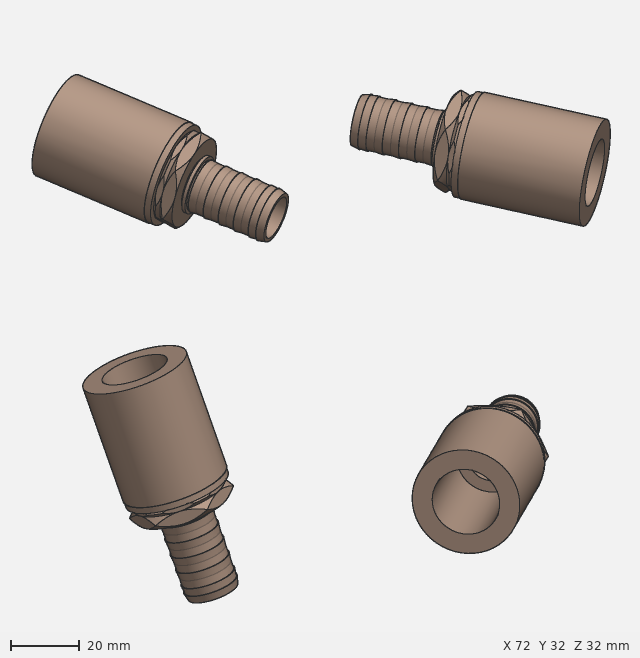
import cadquery as cq
import math

total_length = 72.0

sleeve_radius = 16.0
sleeve_length = 36.9
shoulder_radius = 15.8
shoulder_end = 38.95

hex_sides = 6
hex_corner_radius = sleeve_radius
hex_flat_radius = hex_corner_radius * math.cos(math.pi / hex_sides)
lock_nut_ridge_radius = 14.75
lock_nut_end = 41.0
main_nut_end = 45.0

tail_root_radius = 8.0
collar_radius = 9.0
collar_start = 45.65
collar_end = 46.7

barb_count = 5
barb_peak_radius = 8.3
barbs_start = 47.3
barb_pitch = (total_length - barbs_start) / barb_count
barb_taper_length = barb_pitch / 2
tip_radius = 7.6

socket_radius = 10.0
socket_depth = sleeve_length
through_radius = 6.5


def cylinder(radius, start, end):
    """Solid cylinder along X between two positions."""
    return cq.Workplane("YZ", origin=(start, 0, 0)).circle(radius).extrude(end - start)


def revolve_about_x(profile):
    """Full turn of a profile drawn in the XY plane around the X axis."""
    return profile.close().revolve(360, (0, 0, 0), (1, 0, 0))


def chamfered_nut(start, end, ridge_radius):
    """Hexagon trimmed by two cones that meet in a ridge halfway along its width."""
    hexagon = (
        cq.Workplane("YZ", origin=(start, 0, 0))
        .polygon(hex_sides, 2 * hex_corner_radius)
        .extrude(end - start)
    )
    double_cone = revolve_about_x(
        cq.Workplane("XY")
        .moveTo(start, 0)
        .lineTo(start, hex_flat_radius)
        .lineTo((start + end) / 2, ridge_radius)
        .lineTo(end, hex_flat_radius)
        .lineTo(end, 0)
    )
    return hexagon.intersect(double_cone)


def barbed_tail():
    """Hose tail with tapered barbs and a conical lead-in at the tip."""
    profile = (
        cq.Workplane("XY")
        .moveTo(main_nut_end, 0)
        .lineTo(main_nut_end, tail_root_radius)
        .lineTo(barbs_start, tail_root_radius)
    )
    for index in range(barb_count):
        step = barbs_start + index * barb_pitch
        taper_end = step + barb_taper_length
        profile = profile.lineTo(step, barb_peak_radius).lineTo(taper_end, tail_root_radius)
        if index < barb_count - 1:
            profile = profile.lineTo(step + barb_pitch, tail_root_radius)
    tip_start = total_length - barb_taper_length
    profile = (
        profile.lineTo(tip_start, barb_peak_radius)
        .lineTo(total_length, tip_radius)
        .lineTo(total_length, 0)
    )
    return revolve_about_x(profile)


body = (
    cylinder(sleeve_radius, 0, sleeve_length)
    .union(cylinder(shoulder_radius, sleeve_length, shoulder_end))
    .union(chamfered_nut(shoulder_end, lock_nut_end, lock_nut_ridge_radius))
    .union(chamfered_nut(lock_nut_end, main_nut_end, hex_corner_radius))
    .union(barbed_tail())
    .union(cylinder(collar_radius, collar_start, collar_end))
)

socket = cylinder(socket_radius, 0, socket_depth)
through_bore = cylinder(through_radius, 0, total_length)

result = body.cut(socket).cut(through_bore)